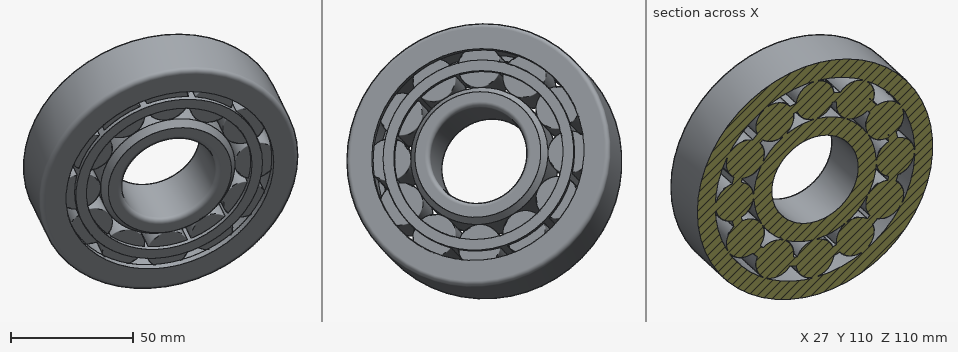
import cadquery as cq

width = 27.0
edge_radius = 2.0

outer_diameter = 110.0
lip_diameter = 88.4
outer_track_diameter = 92.8
lip_width = 3.0

bore_diameter = 40.0
inner_track_diameter = 57.2
cone_end_diameter = 52.5
cone_length = 3.0

cage_inner_diameter = 70.5
cage_outer_diameter = 79.4
cage_recess = 1.0

roller_count = 12
track_overlap = 0.05
roller_edge_radius = 0.3
pitch_diameter = (outer_track_diameter + inner_track_diameter) / 2
roller_diameter = (outer_track_diameter - inner_track_diameter) / 2 + 2 * track_overlap
roller_length = width - 2 * lip_width


def cylinder(diameter, length):
    """Cylinder along X, centred on the origin."""
    return cq.Workplane("YZ").circle(diameter / 2).extrude(length / 2, both=True)


def tube(outside, inside, length):
    """Hollow cylinder along X, centred on the origin."""
    return cylinder(outside, length).cut(cylinder(inside, length))


def make_outer_ring():
    blank = cylinder(outer_diameter, width).edges().fillet(edge_radius)
    bored = blank.cut(cylinder(lip_diameter, width))
    return bored.cut(cylinder(outer_track_diameter, roller_length))


def make_inner_ring():
    cone_depth = (inner_track_diameter - cone_end_diameter) / 2
    blank = cylinder(inner_track_diameter, width)
    blank = blank.faces("<X").chamfer(cone_length, cone_depth)
    blank = blank.faces(">X").chamfer(cone_length, cone_depth)
    bored = blank.cut(cylinder(bore_diameter, width))
    return bored.edges(cq.selectors.RadiusNthSelector(0)).fillet(edge_radius)


def make_cage():
    return tube(cage_outer_diameter, cage_inner_diameter, width - 2 * cage_recess)


def make_rollers():
    roller = cylinder(roller_diameter, roller_length).edges().fillet(roller_edge_radius)
    first = roller.translate((0, 0, pitch_diameter / 2))
    angles = [index * 360 / roller_count for index in range(roller_count)]
    return [first.rotate((0, 0, 0), (1, 0, 0), angle) for angle in angles]


result = make_cage()
for bearing_roller in make_rollers():
    result = result.union(bearing_roller)
result = result.union(make_outer_ring()).union(make_inner_ring())